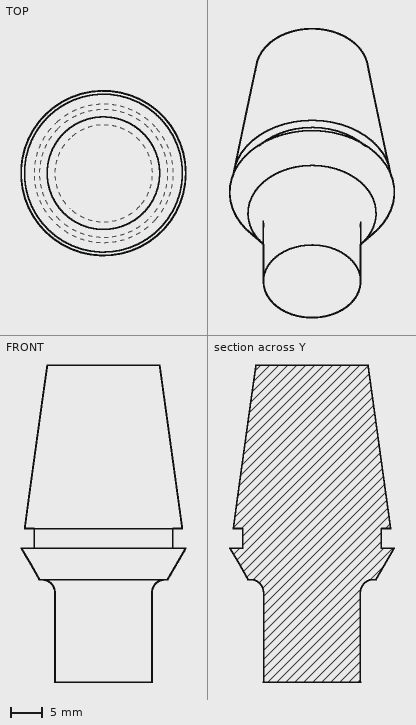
import cadquery as cq

total_height = 50.2
flange_diameter = 26.1

shank_diameter = 15.4
fillet_radius = 2.0

flange_base_diameter = 20.3
flange_base_z = 16.2
flange_height = 5.0

neck_diameter = 22.0
neck_height = 3.05

head_base_diameter = 25.0
head_top_diameter = 17.8

shank_radius = shank_diameter / 2
neck_radius = neck_diameter / 2
shank_top_z = flange_base_z - fillet_radius
flange_top_z = flange_base_z + flange_height
head_base_z = flange_top_z + neck_height

profile = (
    cq.Workplane("XZ")
    .lineTo(shank_radius, 0)
    .lineTo(shank_radius, shank_top_z)
    .radiusArc((shank_radius + fillet_radius, flange_base_z), fillet_radius)
    .lineTo(flange_base_diameter / 2, flange_base_z)
    .lineTo(flange_diameter / 2, flange_top_z)
    .lineTo(neck_radius, flange_top_z)
    .lineTo(neck_radius, head_base_z)
    .lineTo(head_base_diameter / 2, head_base_z)
    .lineTo(head_top_diameter / 2, total_height)
    .lineTo(0, total_height)
    .close()
)

result = profile.revolve(360, (0, 0, 0), (0, 1, 0))